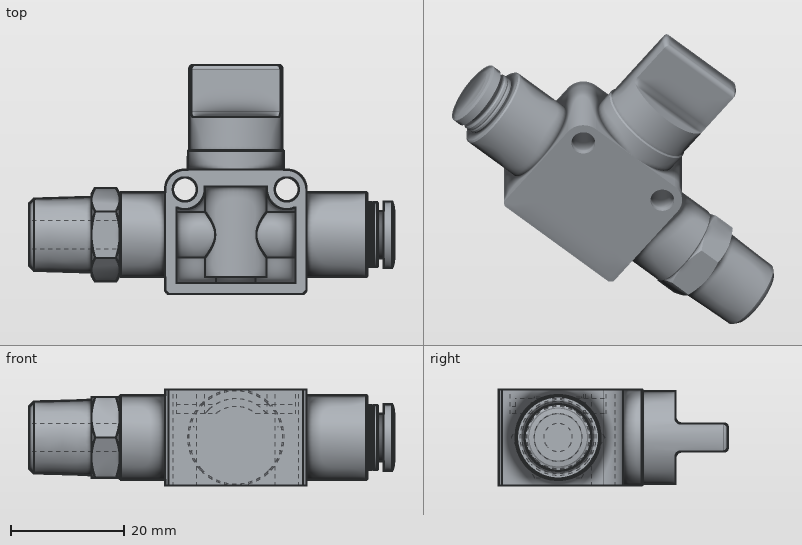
import cadquery as cq
import math

OVERLAP = 0.5

BODY_WIDTH = 25.0
BODY_HEIGHT = 17.0
BODY_BACK = 11.5
BODY_FRONT = -10.5
BODY_EDGE_CHAMFER = 0.6

MOUNT_DIAMETER = 4.2
MOUNT_BOSS_RADIUS = 3.5
MOUNT_X = BODY_WIDTH / 2 - MOUNT_BOSS_RADIUS
MOUNT_Y = BODY_BACK - MOUNT_BOSS_RADIUS

POCKET_WIDTH = 21.0
POCKET_BACK = 8.5
POCKET_FRONT = -8.5
POCKET_FLOOR = 4.25

BARREL_HALF_WIDTH = 5.4
BARREL_FRONT = -7.5
STEM_HALF_WIDTH = 3.5
BRANCH_HALF_WIDTH = 4.0

SLEEVE_RADIUS = 7.5
SLEEVE_CHAMFER = 0.25
SLEEVE_LEFT = -20.5
SLEEVE_RIGHT = 23.25

HEX_ACROSS_FLATS = 14.3
HEX_LENGTH = 5.0
HEX_LEFT = SLEEVE_LEFT - HEX_LENGTH
HEX_HALF_ANGLE = math.pi / 6
HEX_CHAMFER_ANGLE = 30.0
THREAD_LENGTH = 11.0
THREAD_LEFT = HEX_LEFT - THREAD_LENGTH
THREAD_LARGE_RADIUS = 6.7
THREAD_TAPER = 1 / 32
THREAD_CHAMFER = 0.9
BORE_DIAMETER = 5.0

RING_RADIUS = 11.5 / 2
RING_BEVEL = 0.2
RING_CRESTS = ((23.6, 23.95), (24.4, 24.9))
NECK_RADIUS = 8.45 / 2
BUTTON_RADIUS = 11.8 / 2
BUTTON_LEFT = 26.1
BUTTON_SHOULDER = 27.6
BUTTON_END = 28.0
BUTTON_FACE_RADIUS = 4.2
BUTTON_DOME_POINT = (27.85, 5.2)

COLLAR_DIAMETER = 17.0
COLLAR_BACK = 15.0
HANDLE_DIAMETER = 16.5
COLLAR_CHAMFER = (COLLAR_DIAMETER - HANDLE_DIAMETER) / 2
HANDLE_BACK = 30.0
HANDLE_THICKNESS = 5.0
HANDLE_STEP = 20.75
HANDLE_ROOT_RADIUS = 1.0
HANDLE_TIP_RADIUS = 0.8


def turned_about_x(points):
    """Solid of revolution about X from (x, radius) points; the axis closes the outline."""
    first_x = points[0][0]
    last_x = points[-1][0]
    outline = [(first_x, 0), *points, (last_x, 0)]
    return cq.Workplane("XY").polyline(outline).close().revolve(360, (0, 0, 0), (1, 0, 0))


def cylinder_along_x(radius, left, right):
    return cq.Workplane("YZ").workplane(offset=left).circle(radius).extrude(right - left)


def cylinder_along_y(radius, front, back):
    return cq.Workplane("XZ").workplane(offset=-back).circle(radius).extrude(back - front)


def box_between(x_range, y_range, z_range):
    size = [high - low for low, high in (x_range, y_range, z_range)]
    corner = (x_range[0], y_range[0], z_range[0])
    return cq.Workplane("XY").box(*size, centered=False).translate(corner)


def radius_from_floor_width(half_width):
    """Radius of a cylinder on the mid plane that has this half width at the pocket floor."""
    return math.hypot(half_width, POCKET_FLOOR)


def make_block():
    half_width = BODY_WIDTH / 2
    half_height = BODY_HEIGHT / 2
    block = box_between((-half_width, half_width), (BODY_FRONT, BODY_BACK), (-half_height, half_height))
    block = block.edges("|Z and >Y").fillet(MOUNT_BOSS_RADIUS)
    return block.edges("|Z and <Y").chamfer(BODY_EDGE_CHAMFER)


def make_pocket():
    """Pocket volume: a rectangle less the round bosses that enclose the mounting holes."""
    half_width = POCKET_WIDTH / 2
    top = BODY_HEIGHT / 2
    pocket = box_between((-half_width, half_width), (POCKET_FRONT, POCKET_BACK), (POCKET_FLOOR, top))
    for side in (-1, 1):
        boss = (
            cq.Workplane("XY")
            .workplane(offset=POCKET_FLOOR)
            .center(side * MOUNT_X, MOUNT_Y)
            .circle(MOUNT_BOSS_RADIUS)
            .extrude(top - POCKET_FLOOR)
        )
        pocket = pocket.cut(boss)
    return pocket


def make_passages():
    barrel_radius = radius_from_floor_width(BARREL_HALF_WIDTH)
    barrel = cylinder_along_y(barrel_radius, BARREL_FRONT, POCKET_BACK + OVERLAP)
    stem_radius = radius_from_floor_width(STEM_HALF_WIDTH)
    stem = cylinder_along_y(stem_radius, POCKET_FRONT - OVERLAP, BARREL_FRONT + OVERLAP)
    reach = POCKET_WIDTH / 2 + OVERLAP
    branches = cylinder_along_x(radius_from_floor_width(BRANCH_HALF_WIDTH), -reach, reach)
    return barrel.union(stem).union(branches)


def make_sleeves():
    end_radius = SLEEVE_RADIUS - SLEEVE_CHAMFER
    left = turned_about_x([
        (SLEEVE_LEFT, end_radius),
        (SLEEVE_LEFT + SLEEVE_CHAMFER, SLEEVE_RADIUS),
        (-BODY_WIDTH / 2 + OVERLAP, SLEEVE_RADIUS),
    ])
    right = turned_about_x([
        (BODY_WIDTH / 2 - OVERLAP, SLEEVE_RADIUS),
        (SLEEVE_RIGHT - SLEEVE_CHAMFER, SLEEVE_RADIUS),
        (SLEEVE_RIGHT, end_radius),
    ])
    return left, right


def make_hex():
    """Hexagon with corners on Y, both ends turned down to the across-flats circle."""
    corner_diameter = HEX_ACROSS_FLATS / math.cos(HEX_HALF_ANGLE)
    inner = HEX_ACROSS_FLATS / 2
    outer = corner_diameter / 2
    setback = (outer - inner) * math.tan(math.radians(HEX_CHAMFER_ANGLE))
    prism = cq.Workplane("YZ").workplane(offset=HEX_LEFT).polygon(6, corner_diameter).extrude(HEX_LENGTH)
    envelope = turned_about_x([
        (HEX_LEFT, inner),
        (HEX_LEFT + setback, outer),
        (SLEEVE_LEFT - setback, outer),
        (SLEEVE_LEFT, inner),
    ])
    return prism.intersect(envelope)


def make_thread():
    """Taper thread blank, chamfered at its tip."""
    tip_radius = THREAD_LARGE_RADIUS - THREAD_TAPER * (THREAD_LENGTH - THREAD_CHAMFER)
    return turned_about_x([
        (THREAD_LEFT, tip_radius - THREAD_CHAMFER),
        (THREAD_LEFT + THREAD_CHAMFER, tip_radius),
        (HEX_LEFT, THREAD_LARGE_RADIUS),
    ])


def make_push_in_fitting():
    """Two low rings, a neck and a release button with a domed end."""
    groove_radius = RING_RADIUS - RING_BEVEL
    outline = [(SLEEVE_RIGHT, groove_radius)]
    for crest_left, crest_right in RING_CRESTS:
        outline += [
            (crest_left - RING_BEVEL, groove_radius),
            (crest_left, RING_RADIUS),
            (crest_right, RING_RADIUS),
            (crest_right + RING_BEVEL, groove_radius),
        ]
    outline += [
        (RING_CRESTS[-1][1] + RING_BEVEL, NECK_RADIUS),
        (BUTTON_LEFT, NECK_RADIUS),
        (BUTTON_LEFT, BUTTON_RADIUS),
        (BUTTON_SHOULDER, BUTTON_RADIUS),
        BUTTON_DOME_POINT,
        (BUTTON_END, BUTTON_FACE_RADIUS),
    ]
    return turned_about_x(outline)


def make_handle():
    collar = cylinder_along_y(COLLAR_DIAMETER / 2, BODY_BACK - OVERLAP, COLLAR_BACK)
    collar = collar.faces(">Y").chamfer(COLLAR_CHAMFER)
    radius = HANDLE_DIAMETER / 2
    half_grip = HANDLE_THICKNESS / 2
    handle = cylinder_along_y(radius, COLLAR_BACK, HANDLE_BACK)
    x_range = (-HANDLE_DIAMETER, HANDLE_DIAMETER)
    y_range = (HANDLE_STEP, HANDLE_BACK + OVERLAP)
    for side in (-1, 1):
        z_range = sorted((side * half_grip, side * HANDLE_DIAMETER))
        relief = box_between(x_range, y_range, z_range)
        grip_side = "<Z" if side > 0 else ">Z"
        inner_edge = f"<Y and {grip_side}"
        handle = handle.cut(relief.edges(inner_edge).fillet(HANDLE_ROOT_RADIUS))
    handle = handle.faces(">Y").edges().fillet(HANDLE_TIP_RADIUS)
    return collar.union(handle)


def drill_mounting_holes(body):
    positions = [(-MOUNT_X, MOUNT_Y), (MOUNT_X, MOUNT_Y)]
    holes = (
        cq.Workplane("XY")
        .workplane(offset=-BODY_HEIGHT / 2)
        .pushPoints(positions)
        .circle(MOUNT_DIAMETER / 2)
        .extrude(BODY_HEIGHT)
    )
    return body.cut(holes)


left_sleeve, right_sleeve = make_sleeves()
valve = make_block().cut(make_pocket().cut(make_passages()))
for piece in (left_sleeve, right_sleeve, make_hex(), make_thread(), make_push_in_fitting(), make_handle()):
    valve = valve.union(piece)
valve = drill_mounting_holes(valve)
bore = cylinder_along_x(BORE_DIAMETER / 2, THREAD_LEFT, SLEEVE_LEFT)
result = valve.cut(bore)